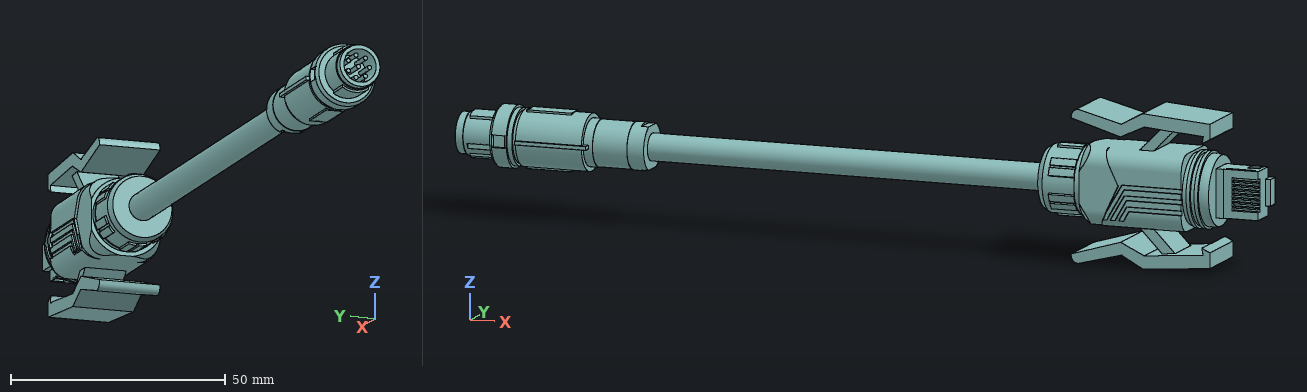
import cadquery as cq
import math


OVERALL_LENGTH = 201.3
OVERALL_HEIGHT = 37.0

TIP_RADIUS = 5.0
TIP_LENGTH = 2.0
BARREL_RADIUS = 5.25
KEY_RADIUS = 5.75
KEY_WIDTH = 6.4
KEY_START = 3.0
BORE_RADIUS = 4.0
BORE_DEPTH = 7.0
PIN_RADIUS = 0.5
PIN_CIRCLE_RADIUS = 2.75
OUTER_PIN_COUNT = 7
PIN_SETBACK = 1.0
BARREL_SLOT_TOP = -1.5
BARREL_SLOT_HEIGHT = 1.3
BARREL_SLOT_DEPTH = 0.5

COLLAR_START = 9.3
COLLAR_END = 13.7
COLLAR_RADIUS = 7.5
COLLAR_CHAMFER = 0.7
COLLAR_POCKET_HEIGHT = 3.0
COLLAR_POCKET_START = 10.1
COLLAR_POCKET_END = 13.3
COLLAR_POCKET_FLOOR = 6.4

SEAL_GROOVE_START = 14.9
SEAL_GROOVE_RADIUS = 6.3
SLEEVE_START = 15.8
SLEEVE_END = 32.3
SLEEVE_RADIUS = 6.9
SLEEVE_PAD_START = 16.8
SLEEVE_PAD_END = 28.0
SLEEVE_PAD_WIDTH = 4.4
SLEEVE_PAD_HEIGHT = 7.0
FIN_REACH = 7.55
FIN_THICKNESS = 0.9
FIN_END = 33.6
NECK_RADIUS = 5.75
NECK_END = 47.4
NECK_STEP_START = 34.6
NECK_STEP_RADIUS = 5.65
NECK_RING_START = 43.2
NECK_FLAT_START = 45.6
NECK_FLAT_HEIGHT = 5.2

CABLE_RADIUS = 3.3

NUT_START = 146.5
NUT_END = 157.3
NUT_RADIUS = 8.15
NUT_CHAMFER_LENGTH = 1.4
NUT_CHAMFER_HEIGHT = 0.8
NUT_RIM_RADIUS = 8.3
NUT_PAD_COUNT = 6
NUT_PAD_START = 149.5
NUT_PAD_END = 155.9
NUT_PAD_RADIUS = 8.65
NUT_PAD_WIDTH = 4.4
NUT_PAD_SLOT = 0.6

HOUSING_WIDTH = 18.52
HOUSING_END = 183.1
CORNER_RADIUS = 4.0
FRONT_CONE_LENGTH = 2.4
FRONT_CONE_START_RADIUS = 9.4
FRONT_CONE_END_RADIUS = 11.2
CHEEK_DEPTH = 0.6
CHEEK_TOP_X = 163.4
CHEEK_PEAK_X = 167.3
CHEEK_PEAK_Z = 1.2
CHEEK_BOTTOM_X = 162.3
GRIP_GROOVE_CENTERS = (0.9, -1.6, -4.2)
GRIP_GROOVE_HEIGHT = 1.1
GRIP_GROOVE_DEPTH = 0.5
GRIP_BEND_X = 168.2
GRIP_BEND_STEP = 0.6
GRIP_SLOPE = 1.7

REAR_END = 189.6
REAR_RADIUS = 8.65
REAR_CHAMFER_LENGTH = 1.3
REAR_CHAMFER_HEIGHT = 0.2
REAR_RIDGE_STARTS = (184.3, 186.3)
REAR_RIDGE_LENGTH = 0.9

PLUG_FLANGE_END = 191.4
PLUG_END = 200.0
PLUG_HEIGHT = 11.7
PLUG_Y_MIN = -3.5
PLUG_Y_MAX = 3.2
CONTACT_COUNT = 8
CONTACT_PITCH = 1.02
CONTACT_SLOT_HEIGHT = 0.7
CONTACT_SLOT_START = 193.5
CONTACT_SLOT_DEPTH = 1.2
SIDE_POCKET_START = 196.1
SIDE_POCKET_END = 198.9
SIDE_POCKET_Y_MIN = 0.2
SIDE_POCKET_Y_MAX = 3.0
SIDE_POCKET_DEPTH = 0.5
FLANGE_STEP = 0.25
SIDE_LINE_START = 191.8
SIDE_LINE_Y = -2.2
SIDE_LINE_WIDTH = 0.3
SIDE_LINE_DEPTH = 0.2
LATCH_WIDTH = 6.4
LATCH_ROOT_Y = 5.2
LATCH_ROOT_END = 192.7
LATCH_TOP_Y = 4.6
LATCH_TIP_Y = 1.4

LEVER_WIDTH = 15.1
LEVER_TIP_BOTTOM = (154.8, 16.2)
LEVER_TIP_TOP = (155.4, 18.7)
LEVER_VALLEY_TOP = (167.5, 15.6)
LEVER_VALLEY_BOTTOM = (167.3, 12.5)
LEVER_CREST_X = 172.8
LEVER_CREST_Z = OVERALL_HEIGHT / 2
LEVER_CREST_BOTTOM = (173.2, 15.3)
LEVER_REAR_TOP_Z = 17.2
LEVER_REAR_BOTTOM_Z = 13.4
LEVER_HOOK_POINT = (187.6, 12.4)
LEVER_HOOK_ROOT = (187.9, 14.1)
STRUT_WIDTH = 10.2
STRUT_THICKNESS = 3.5
STRUT_FOOT_X = 170.4
STRUT_FOOT_Z = 8.5
STRUT_HEAD_X = 176.8
STRUT_HEAD_Z = 15.1
LEVER_TIP_RADIUS = 1.6

HALF_HOUSING = HOUSING_WIDTH / 2
OVERLAP = 0.5


def cylinder(start, end, radius):
    return cq.Workplane("YZ").workplane(offset=start).circle(radius).extrude(end - start)


def box(x_min, x_max, y_min, y_max, z_min, z_max):
    size = (x_max - x_min, y_max - y_min, z_max - z_min)
    return cq.Workplane("XY").box(*size, centered=False).translate((x_min, y_min, z_min))


def rounded_block(start, end, width):
    """Block of full housing height and the given width along Y, with rounded long edges."""
    block = box(start, end, -width / 2, width / 2, -HALF_HOUSING, HALF_HOUSING)
    return block.edges("|X").fillet(CORNER_RADIUS)


def with_opposite(shape):
    """Return the shape together with its copy half a turn around the cable axis."""
    return shape.union(shape.rotate((0, 0, 0), (1, 0, 0), 180))


def both_sides(shape):
    """Return the shape together with its mirror image across y = 0."""
    return shape.union(shape.mirror("XZ"))


def plug_barrel():
    barrel = cylinder(0, TIP_LENGTH, TIP_RADIUS)
    barrel = barrel.union(cylinder(TIP_LENGTH, COLLAR_START + OVERLAP, BARREL_RADIUS))
    keys = cylinder(KEY_START, COLLAR_START + OVERLAP, KEY_RADIUS).intersect(
        box(0, COLLAR_START + OVERLAP, -KEY_WIDTH / 2, KEY_WIDTH / 2, -KEY_RADIUS, KEY_RADIUS)
    )
    barrel = barrel.union(keys)
    slot = box(
        KEY_START, COLLAR_START,
        -BARREL_RADIUS, -BARREL_RADIUS + 2 * BARREL_SLOT_DEPTH,
        BARREL_SLOT_TOP - BARREL_SLOT_HEIGHT, BARREL_SLOT_TOP,
    )
    barrel = barrel.cut(slot).cut(cylinder(0, BORE_DEPTH, BORE_RADIUS))
    pin = cylinder(PIN_SETBACK, BORE_DEPTH + OVERLAP, PIN_RADIUS)
    barrel = barrel.union(pin)
    for index in range(OUTER_PIN_COUNT):
        angle = math.pi + 2 * math.pi * index / OUTER_PIN_COUNT
        y = PIN_CIRCLE_RADIUS * math.cos(angle)
        z = PIN_CIRCLE_RADIUS * math.sin(angle)
        barrel = barrel.union(pin.translate((0, y, z)))
    return barrel


def plug_collar():
    collar = cylinder(COLLAR_START, COLLAR_END, COLLAR_RADIUS).faces("<X").chamfer(COLLAR_CHAMFER)
    pocket = box(
        COLLAR_POCKET_START, COLLAR_POCKET_END,
        COLLAR_POCKET_FLOOR, COLLAR_RADIUS,
        -COLLAR_POCKET_HEIGHT / 2, COLLAR_POCKET_HEIGHT / 2,
    )
    collar = collar.cut(both_sides(pocket))
    collar = collar.union(cylinder(COLLAR_END, SEAL_GROOVE_START, SLEEVE_RADIUS))
    return collar.union(cylinder(SEAL_GROOVE_START, SLEEVE_START, SEAL_GROOVE_RADIUS))


def plug_sleeve():
    sleeve = cylinder(SLEEVE_START, SLEEVE_END, SLEEVE_RADIUS)
    pads = box(
        SLEEVE_PAD_START, SLEEVE_PAD_END,
        -SLEEVE_PAD_WIDTH / 2, SLEEVE_PAD_WIDTH / 2,
        -SLEEVE_PAD_HEIGHT, SLEEVE_PAD_HEIGHT,
    )
    sleeve = sleeve.union(pads)
    fins = box(
        SLEEVE_START, FIN_END, -FIN_REACH, FIN_REACH, -FIN_THICKNESS / 2, FIN_THICKNESS / 2
    )
    return sleeve.union(fins)


def plug_neck():
    neck = cylinder(SLEEVE_END, NECK_STEP_START, NECK_RADIUS)
    neck = neck.union(cylinder(NECK_STEP_START, NECK_RING_START, NECK_STEP_RADIUS))
    neck = neck.union(cylinder(NECK_RING_START, NECK_END, NECK_RADIUS))
    flat = box(
        NECK_FLAT_START, NECK_END, -NECK_RADIUS, NECK_RADIUS, NECK_FLAT_HEIGHT, NECK_RADIUS
    )
    return neck.cut(with_opposite(flat))


def gland_nut():
    nut = cylinder(NUT_START, NUT_END, NUT_RADIUS)
    nut = nut.faces("<X").chamfer(NUT_CHAMFER_LENGTH, NUT_CHAMFER_HEIGHT)
    nut = nut.union(cylinder(NUT_PAD_END, NUT_END, NUT_RIM_RADIUS))
    pad_ring = cylinder(NUT_PAD_START, NUT_PAD_END, NUT_PAD_RADIUS)
    pad = box(NUT_PAD_START, NUT_PAD_END, -NUT_PAD_WIDTH / 2, NUT_PAD_WIDTH / 2, 0, NUT_PAD_RADIUS)
    slot = box(
        NUT_PAD_START, NUT_PAD_END, -NUT_PAD_SLOT / 2, NUT_PAD_SLOT / 2, NUT_RADIUS, NUT_PAD_RADIUS
    )
    pad = pad.intersect(pad_ring).cut(slot)
    for index in range(NUT_PAD_COUNT):
        nut = nut.union(pad.rotate((0, 0, 0), (1, 0, 0), 360 * index / NUT_PAD_COUNT))
    return nut


def cheek_recesses():
    """Sunken thumb areas on both side faces and their corners, with a pointed rear border."""
    outline = [
        (NUT_END, HALF_HOUSING),
        (CHEEK_TOP_X, HALF_HOUSING),
        (CHEEK_PEAK_X, CHEEK_PEAK_Z),
        (CHEEK_BOTTOM_X, -HALF_HOUSING),
        (NUT_END, -HALF_HOUSING),
    ]
    region = cq.Workplane("XZ").polyline(outline).close().extrude(HALF_HOUSING, both=True)
    return region.cut(rounded_block(NUT_END, HOUSING_END, HOUSING_WIDTH - 2 * CHEEK_DEPTH))


def grip_groove(index, center_z):
    """Straight groove on the -Y face whose front end bends down along the cheek border."""
    top = center_z + GRIP_GROOVE_HEIGHT / 2
    bottom = center_z - GRIP_GROOVE_HEIGHT / 2
    bend_x = GRIP_BEND_X + index * GRIP_BEND_STEP
    corner_x = bend_x + GRIP_GROOVE_HEIGHT / 2
    outline = [
        (HOUSING_END, top),
        (bend_x, top),
        (bend_x - (top + HALF_HOUSING) / GRIP_SLOPE, -HALF_HOUSING),
        (corner_x - (bottom + HALF_HOUSING) / GRIP_SLOPE, -HALF_HOUSING),
        (corner_x, bottom),
        (HOUSING_END, bottom),
    ]
    groove = cq.Workplane("XZ").polyline(outline).close().extrude(GRIP_GROOVE_DEPTH)
    return groove.translate((0, -HALF_HOUSING + GRIP_GROOVE_DEPTH, 0))


def housing():
    body = rounded_block(NUT_END, HOUSING_END, HOUSING_WIDTH)
    cone_profile = [
        (NUT_END, 0),
        (NUT_END, FRONT_CONE_START_RADIUS),
        (NUT_END + FRONT_CONE_LENGTH, FRONT_CONE_END_RADIUS),
        (NUT_END + FRONT_CONE_LENGTH, HOUSING_WIDTH),
        (HOUSING_END, HOUSING_WIDTH),
        (HOUSING_END, 0),
    ]
    envelope = cq.Workplane("XY").polyline(cone_profile).close().revolve(360, (0, 0, 0), (1, 0, 0))
    body = body.intersect(envelope).cut(cheek_recesses())
    for index, center_z in enumerate(GRIP_GROOVE_CENTERS):
        body = body.cut(both_sides(grip_groove(index, center_z)))
    rear = cylinder(HOUSING_END - OVERLAP, REAR_END, REAR_RADIUS)
    rear = rear.faces(">X").chamfer(REAR_CHAMFER_LENGTH, REAR_CHAMFER_HEIGHT)
    body = body.union(rear)
    for start in REAR_RIDGE_STARTS:
        body = body.union(cylinder(start, start + REAR_RIDGE_LENGTH, HALF_HOUSING))
    return body


def rj45_plug():
    half_height = PLUG_HEIGHT / 2
    contact_face = PLUG_Y_MIN + FLANGE_STEP
    plug = box(REAR_END, PLUG_FLANGE_END, PLUG_Y_MIN, PLUG_Y_MAX, -half_height, half_height)
    plug = plug.union(
        box(PLUG_FLANGE_END, PLUG_END, contact_face, PLUG_Y_MAX, -half_height, half_height)
    )
    for index in range(CONTACT_COUNT):
        z = (index - (CONTACT_COUNT - 1) / 2) * CONTACT_PITCH
        plug = plug.cut(box(
            CONTACT_SLOT_START, PLUG_END,
            contact_face, contact_face + CONTACT_SLOT_DEPTH,
            z - CONTACT_SLOT_HEIGHT / 2, z + CONTACT_SLOT_HEIGHT / 2,
        ))
    side_pocket = box(
        SIDE_POCKET_START, SIDE_POCKET_END,
        SIDE_POCKET_Y_MIN, SIDE_POCKET_Y_MAX,
        half_height - SIDE_POCKET_DEPTH, half_height,
    )
    side_line = box(
        SIDE_LINE_START, SIDE_POCKET_END,
        SIDE_LINE_Y - SIDE_LINE_WIDTH / 2, SIDE_LINE_Y + SIDE_LINE_WIDTH / 2,
        half_height - SIDE_LINE_DEPTH, half_height,
    )
    for cutter in (side_pocket, side_line):
        plug = plug.cut(cutter).cut(cutter.mirror("XY"))
    latch_outline = [
        (REAR_END, 0),
        (REAR_END, LATCH_ROOT_Y),
        (LATCH_ROOT_END, LATCH_TOP_Y),
        (OVERALL_LENGTH, LATCH_TOP_Y),
        (OVERALL_LENGTH, LATCH_TIP_Y),
        (PLUG_END, LATCH_TIP_Y),
        (PLUG_END, 0),
    ]
    latch = cq.Workplane("XY").polyline(latch_outline).close().extrude(LATCH_WIDTH / 2, both=True)
    return plug.union(latch)


def release_lever():
    """Upper lever: wavy plate with a hooked rear end on an inclined strut."""
    plate_outline = [
        LEVER_TIP_BOTTOM,
        LEVER_TIP_TOP,
        LEVER_VALLEY_TOP,
        (LEVER_CREST_X, LEVER_CREST_Z),
        (REAR_END, LEVER_REAR_TOP_Z),
        (REAR_END, LEVER_REAR_BOTTOM_Z),
        LEVER_HOOK_POINT,
        LEVER_HOOK_ROOT,
        LEVER_CREST_BOTTOM,
        LEVER_VALLEY_BOTTOM,
    ]
    strut_outline = [
        (STRUT_FOOT_X, STRUT_FOOT_Z),
        (STRUT_HEAD_X, STRUT_HEAD_Z),
        (STRUT_HEAD_X + STRUT_THICKNESS, STRUT_HEAD_Z),
        (STRUT_FOOT_X + STRUT_THICKNESS, STRUT_FOOT_Z),
    ]
    plate = cq.Workplane("XZ").polyline(plate_outline).close().extrude(LEVER_WIDTH / 2, both=True)
    plate = plate.edges("|Y and >Z").fillet(LEVER_TIP_RADIUS)
    strut = cq.Workplane("XZ").polyline(strut_outline).close().extrude(STRUT_WIDTH / 2, both=True)
    return plate.union(strut)


cable = cylinder(NECK_END - OVERLAP, NUT_START + OVERLAP, CABLE_RADIUS)

result = plug_barrel()
for section in (
    plug_collar(),
    plug_sleeve(),
    plug_neck(),
    cable,
    gland_nut(),
    housing(),
    rj45_plug(),
    with_opposite(release_lever()),
):
    result = result.union(section)